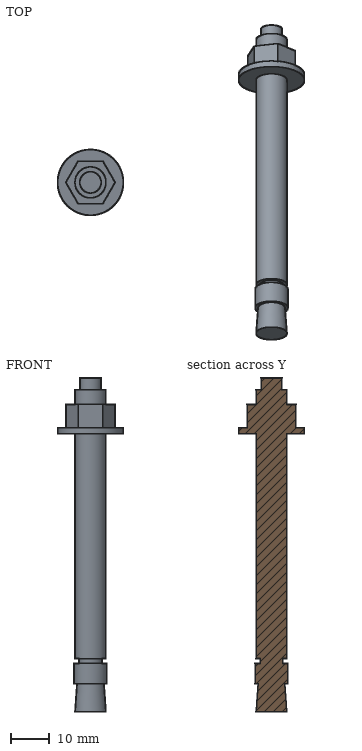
import cadquery as cq

total_length = 86.0

stud_diameter = 8.0
tip_diameter = 5.5
washer_diameter = 17.0
neck_diameter = 6.0
sleeve_diameter = 8.5
cone_top_diameter = 7.0
cone_bottom_diameter = stud_diameter

nut_across_corners = 12.7
nut_height = 6.0

tip_length = 3.0
thread_above_nut = 3.8
washer_thickness = 1.6
cone_length = 7.2
sleeve_length = 5.3
neck_length = 1.2

sleeve_bottom = cone_length
sleeve_top = sleeve_bottom + sleeve_length
stud_bottom = sleeve_top + neck_length
stud_top = total_length - tip_length
nut_top = stud_top - thread_above_nut
nut_bottom = nut_top - nut_height
washer_bottom = nut_bottom - washer_thickness


def make_bolt():
    """Revolve the stepped half-profile of the bolt, drawn on the -X side, about Z."""
    steps = [
        (cone_bottom_diameter, 0),
        (cone_top_diameter, sleeve_bottom),
        (sleeve_diameter, sleeve_bottom),
        (sleeve_diameter, sleeve_top),
        (neck_diameter, sleeve_top),
        (neck_diameter, stud_bottom),
        (stud_diameter, stud_bottom),
        (stud_diameter, stud_top),
        (tip_diameter, stud_top),
        (tip_diameter, total_length),
    ]
    outline = [(0, 0)]
    outline += [(-diameter / 2, level) for diameter, level in steps]
    outline += [(0, total_length)]
    return cq.Workplane("XZ").polyline(outline).close().revolve(360, (0, 0), (0, 1))


def make_washer():
    """Flat round washer under the nut."""
    base = cq.Workplane("XY").workplane(offset=washer_bottom)
    return base.circle(washer_diameter / 2).extrude(washer_thickness)


def make_nut():
    """Plain hexagonal nut resting on the washer."""
    base = cq.Workplane("XY").workplane(offset=nut_bottom)
    return base.polygon(6, nut_across_corners).extrude(nut_height)


result = make_bolt().union(make_washer()).union(make_nut())